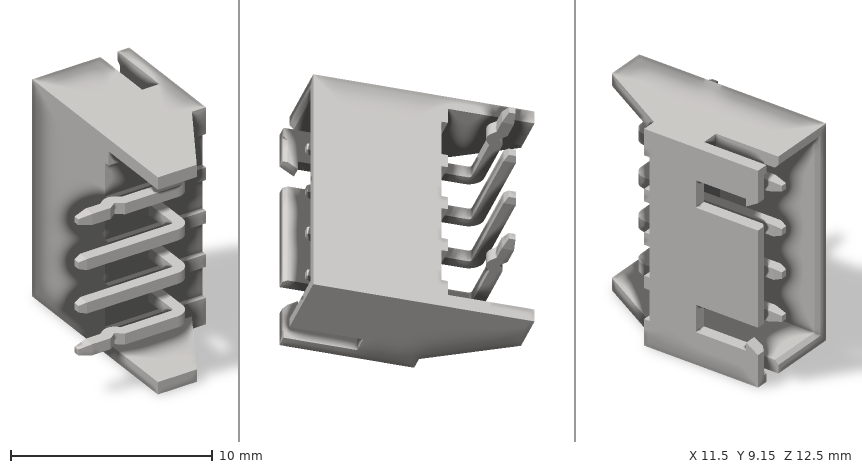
import cadquery as cq
import math


HOUSING_WIDTH = 12.5
HOUSING_HEIGHT = 5.75
SHROUD_LENGTH = 7.0
CHEEK_LENGTH = 11.5
CHEEK_STEP_Y = 4.92
CHEEK_END_Y = 2.3
WALL = 0.71
LATCH_WALL = 0.7
RIM = 0.49
RIM_CHAMFER_DEPTH = LATCH_WALL - RIM
CAVITY_DEPTH = 6.0

SLOT_LENGTH = 3.82
SIDE_SLOT_Y = 4.04
CENTER_PANEL_HALF_WIDTH = 2.8
LATCH_SLOT_HALF_WIDTH = 4.38
HOOK_LENGTH = 0.75
HOOK_HEIGHT = 0.45

PIN_COUNT = 4
PITCH = 2.5
PIN_SIZE = 0.64
PIN_Y = HOUSING_HEIGHT / 2
LEG_X = 9.3
PIN_FRONT_X = 0.5
LEG_END_Y = -3.4
BEND_RADIUS = 0.16
STRAIGHT_TIP_LENGTH = 0.41
STRAIGHT_TIP_SIZE = 0.38
KINKED_TIP_LENGTH = 0.74
KINKED_TIP_SIZE = 0.34
KINK_Y = -1.15
KINK_DEPTH = PIN_SIZE / 2
KINK_HALF_WIDTH = 0.42

RECESS_DEPTH = 0.32
RECESS_HALF_WIDTH = 4.71
RIB_WIDTH = 0.72
RIB_OFFSET = -0.08

PIN_LEVELS = [(i - (PIN_COUNT - 1) / 2) * PITCH for i in range(PIN_COUNT)]


def box(x_range, y_range, z_range):
    """Box between two limits along each axis."""
    limits = (x_range, y_range, z_range)
    size = [high - low for low, high in limits]
    corner = cq.Vector(*[low for low, high in limits])
    return cq.Workplane("XY").box(*size, centered=False).translate(corner)


def plate(points, bottom, top):
    """Plate with an XY outline between two heights in Z."""
    return cq.Workplane("XY").workplane(offset=bottom).polyline(points).close().extrude(top - bottom)


def opening_wire(x, wall, latch_wall):
    """Rectangle across the opening, given the wall thickness around it and at the latch."""
    high_y = HOUSING_HEIGHT - latch_wall
    half_z = HOUSING_WIDTH / 2 - wall
    corners = [(wall, -half_z), (high_y, -half_z), (high_y, half_z), (wall, half_z)]
    return cq.Wire.makePolygon([cq.Vector(x, y, z) for y, z in corners], close=True)


def make_outer_block():
    """Shroud block with the rear space between the two side cheeks left open."""
    half_width = HOUSING_WIDTH / 2
    cheek = [
        (0, 0),
        (CHEEK_LENGTH, 0),
        (CHEEK_LENGTH, CHEEK_END_Y),
        (SHROUD_LENGTH, CHEEK_STEP_Y),
        (SHROUD_LENGTH, HOUSING_HEIGHT),
        (0, HOUSING_HEIGHT),
    ]
    inner = half_width - WALL
    rear_space = box((SHROUD_LENGTH, CHEEK_LENGTH), (0, HOUSING_HEIGHT), (-inner, inner))
    return plate(cheek, -half_width, half_width).cut(rear_space)


def make_cavity():
    """Mating cavity with a chamfered mouth."""
    inner = HOUSING_WIDTH / 2 - WALL
    pocket = box((0, CAVITY_DEPTH), (WALL, HOUSING_HEIGHT - LATCH_WALL), (-inner, inner))
    mouth = cq.Solid.makeLoft(
        [opening_wire(0, RIM, RIM), opening_wire(RIM_CHAMFER_DEPTH, WALL, LATCH_WALL)], True
    )
    return pocket.union(cq.Workplane(mouth))


def make_side_slot():
    """Slot through both side walls next to the latch wall."""
    half_width = HOUSING_WIDTH / 2
    return box((0, SLOT_LENGTH), (SIDE_SLOT_Y, HOUSING_HEIGHT - LATCH_WALL), (-half_width, half_width))


def make_latch_slot():
    """Upper slot through the latch wall; its upper edge keeps a ramped hook at the mouth."""
    hook_peak = LATCH_SLOT_HALF_WIDTH - HOOK_HEIGHT
    outline = [
        (0, CENTER_PANEL_HALF_WIDTH),
        (SLOT_LENGTH, CENTER_PANEL_HALF_WIDTH),
        (SLOT_LENGTH, LATCH_SLOT_HALF_WIDTH),
        (HOOK_LENGTH, LATCH_SLOT_HALF_WIDTH),
        (HOOK_LENGTH, hook_peak),
        (0, LATCH_SLOT_HALF_WIDTH),
    ]
    slot = cq.Workplane("XZ").polyline(outline).close().extrude(-LATCH_WALL)
    return slot.translate((0, HOUSING_HEIGHT - LATCH_WALL, 0))


def make_pin_hole(z):
    """Square pin hole through the rear wall."""
    half_pin = PIN_SIZE / 2
    return box(
        (CAVITY_DEPTH, SHROUD_LENGTH), (PIN_Y - half_pin, PIN_Y + half_pin), (z - half_pin, z + half_pin)
    )


def make_rear_recess():
    """Shallow recess over the full height of the rear wall, with a rib left between neighbouring pins."""
    x_range = (SHROUD_LENGTH - RECESS_DEPTH, SHROUD_LENGTH)
    y_range = (0, HOUSING_HEIGHT)
    recess = box(x_range, y_range, (-RECESS_HALF_WIDTH, RECESS_HALF_WIDTH))
    for pin_z in PIN_LEVELS[:-1]:
        rib_z = pin_z + PITCH / 2 + RIB_OFFSET
        recess = recess.cut(box(x_range, y_range, (rib_z - RIB_WIDTH / 2, rib_z + RIB_WIDTH / 2)))
    return recess


def make_housing():
    latch_slot = make_latch_slot()
    housing = make_outer_block().cut(make_cavity()).cut(make_side_slot())
    housing = housing.cut(latch_slot).cut(latch_slot.mirror("XY")).cut(make_rear_recess())
    for z in PIN_LEVELS:
        housing = housing.cut(make_pin_hole(z))
    return housing


def make_tip(plane, length, tip_size):
    """Square tip that tapers along the normal of a plane."""
    return (
        cq.Workplane(plane)
        .rect(PIN_SIZE, PIN_SIZE)
        .workplane(offset=length)
        .rect(tip_size, tip_size)
        .loft(ruled=True)
    )


def make_straight_pin(tip_length, tip_size):
    """Right-angled square pin at Z = 0 with tapered ends."""
    half = PIN_SIZE / 2
    front = PIN_FRONT_X + tip_length
    leg_end = LEG_END_Y + tip_length
    outer_radius = BEND_RADIUS + PIN_SIZE
    bend_x = LEG_X - half - BEND_RADIUS
    bend_y = PIN_Y - half - BEND_RADIUS
    diagonal = math.sqrt(0.5)
    body = (
        cq.Workplane("XY")
        .workplane(offset=-half)
        .moveTo(front, PIN_Y + half)
        .lineTo(bend_x, PIN_Y + half)
        .threePointArc(
            (bend_x + outer_radius * diagonal, bend_y + outer_radius * diagonal), (LEG_X + half, bend_y)
        )
        .lineTo(LEG_X + half, leg_end)
        .lineTo(LEG_X - half, leg_end)
        .lineTo(LEG_X - half, bend_y)
        .threePointArc(
            (bend_x + BEND_RADIUS * diagonal, bend_y + BEND_RADIUS * diagonal), (bend_x, PIN_Y - half)
        )
        .lineTo(front, PIN_Y - half)
        .close()
        .extrude(PIN_SIZE)
    )
    front_plane = cq.Plane(origin=(front, PIN_Y, 0), xDir=(0, 1, 0), normal=(-1, 0, 0))
    leg_plane = cq.Plane(origin=(LEG_X, leg_end, 0), xDir=(1, 0, 0), normal=(0, -1, 0))
    front_tip = make_tip(front_plane, tip_length, tip_size)
    leg_tip = make_tip(leg_plane, tip_length, tip_size)
    return body.union(front_tip).union(leg_tip)


def make_kinked_pin():
    """Pin whose leg is bent sideways: a V notch on one side, a parallel rounded bulge on the other."""
    half = PIN_SIZE / 2
    apex_x = LEG_X + half - KINK_DEPTH
    slope_length = math.hypot(KINK_DEPTH, KINK_HALF_WIDTH)
    tangent_dx = PIN_SIZE * KINK_HALF_WIDTH / slope_length
    tangent_dy = PIN_SIZE * KINK_DEPTH / slope_length
    bulge_x = apex_x - tangent_dx
    bulge_base_x = LEG_X - half
    bulge_half_width = tangent_dy + (bulge_base_x - bulge_x) * KINK_HALF_WIDTH / KINK_DEPTH
    notch = plate(
        [
            (apex_x, KINK_Y),
            (LEG_X + half, KINK_Y - KINK_HALF_WIDTH),
            (LEG_X + half, KINK_Y + KINK_HALF_WIDTH),
        ],
        -half,
        half,
    )
    bulge = (
        cq.Workplane("XY")
        .workplane(offset=-half)
        .moveTo(bulge_base_x, KINK_Y + bulge_half_width)
        .lineTo(bulge_x, KINK_Y + tangent_dy)
        .threePointArc((apex_x - PIN_SIZE, KINK_Y), (bulge_x, KINK_Y - tangent_dy))
        .lineTo(bulge_base_x, KINK_Y - bulge_half_width)
        .close()
        .extrude(PIN_SIZE)
    )
    return make_straight_pin(KINKED_TIP_LENGTH, KINKED_TIP_SIZE).union(bulge).cut(notch)


housing = make_housing()

pins = []
for z in PIN_LEVELS:
    if z in (PIN_LEVELS[0], PIN_LEVELS[-1]):
        pin = make_kinked_pin()
    else:
        pin = make_straight_pin(STRAIGHT_TIP_LENGTH, STRAIGHT_TIP_SIZE)
    pins.append(pin.translate((0, 0, z)))

result = cq.Compound.makeCompound([housing.val(), *[pin.val() for pin in pins]])